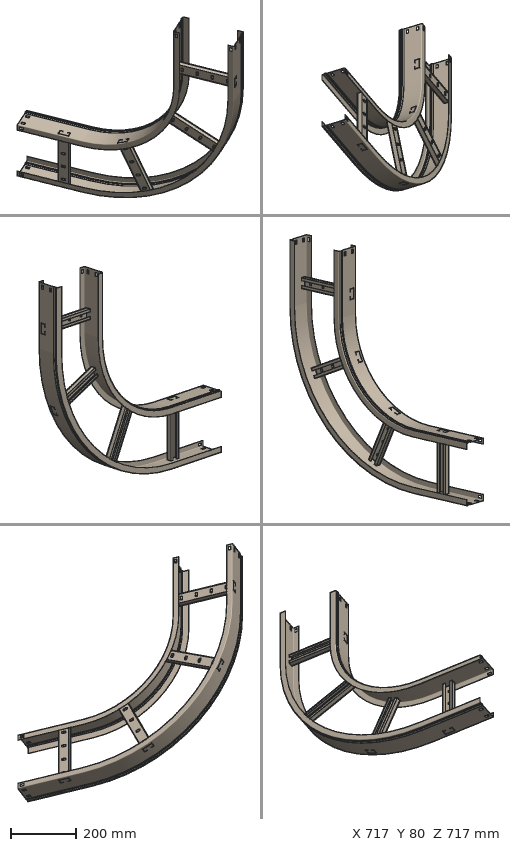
import cadquery as cq
import math

OUTER_RADIUS = 500.0
TRACK_WIDTH = 200.0
INNER_RADIUS = OUTER_RADIUS - TRACK_WIDTH
ARM_LENGTH = 217.0
BEND_ANGLE = 90.0

RAIL_DEPTH = 80.0
FLANGE_WIDTH = 20.0
SHEET = 1.0
FOLD_RADIUS = 2.5
BEAD_OFFSET = 11.0
BEAD_BASE_WIDTH = 12.0
BEAD_CREST_WIDTH = 3.0
BEAD_HEIGHT = 2.5

END_SLOT_LENGTH = 12.0
END_SLOT_WIDTH = 7.0
END_SLOT_INSET = 14.0
WEB_SLOT_FRONT_Y = 15.5
WEB_SLOT_PITCH = 35.0
WEB_SLOT_COUNT = 2

RUNG_WIDTH = 35.0
RUNG_DEPTH = 17.0
RUNG_SHEET = 1.5
RUNG_FRONT_Y = 9.0
RUNG_LIP = 10.0
RUNG_END_DISTANCE = 149.0
RUNG_ANGLE = 25.0
RUNG_SLOT_LENGTH = 14.0
RUNG_SLOT_WIDTH = 7.0
RUNG_SLOT_COUNT = 4
RUNG_SLOT_PITCH = 50.0

MID_RADIUS = (OUTER_RADIUS + INNER_RADIUS) / 2
Y_AXIS = ((0, 0, 0), (0, 1, 0))


def rail_section(web_radius, inward, bead_depth):
    """Channel outline in the XY plane.

    `inward` is the radial sign from the web towards the flange tips, and `bead_depth` is how far
    the bead shifts the web in that direction (negative shifts it away from the flange tips).
    """

    def at(depth, y):
        return (web_radius + inward * depth, y)

    def fold_middle(radius, side_y, y_sign):
        reach = FOLD_RADIUS - radius * math.sqrt(0.5)
        return at(reach, side_y + y_sign * reach)

    bead_y = RAIL_DEPTH - BEAD_OFFSET
    half_base = BEAD_BASE_WIDTH / 2
    half_crest = BEAD_CREST_WIDTH / 2
    inside_fold = FOLD_RADIUS - SHEET
    return (
        cq.Workplane("XY")
        .moveTo(*at(FLANGE_WIDTH, 0))
        .lineTo(*at(FOLD_RADIUS, 0))
        .threePointArc(fold_middle(FOLD_RADIUS, 0, 1), at(0, FOLD_RADIUS))
        .lineTo(*at(0, bead_y - half_base))
        .lineTo(*at(bead_depth, bead_y - half_crest))
        .lineTo(*at(bead_depth, bead_y + half_crest))
        .lineTo(*at(0, bead_y + half_base))
        .lineTo(*at(0, RAIL_DEPTH - FOLD_RADIUS))
        .threePointArc(fold_middle(FOLD_RADIUS, RAIL_DEPTH, -1), at(FOLD_RADIUS, RAIL_DEPTH))
        .lineTo(*at(FLANGE_WIDTH, RAIL_DEPTH))
        .lineTo(*at(FLANGE_WIDTH, RAIL_DEPTH - SHEET))
        .lineTo(*at(FOLD_RADIUS, RAIL_DEPTH - SHEET))
        .threePointArc(fold_middle(inside_fold, RAIL_DEPTH, -1), at(SHEET, RAIL_DEPTH - FOLD_RADIUS))
        .lineTo(*at(SHEET, bead_y + half_base))
        .lineTo(*at(SHEET + bead_depth, bead_y + half_crest))
        .lineTo(*at(SHEET + bead_depth, bead_y - half_crest))
        .lineTo(*at(SHEET, bead_y - half_base))
        .lineTo(*at(SHEET, FOLD_RADIUS))
        .threePointArc(fold_middle(inside_fold, 0, 1), at(FOLD_RADIUS, SHEET))
        .lineTo(*at(FLANGE_WIDTH, SHEET))
        .close()
    )


def end_slots(web_radius, inward, slot_z):
    """Cutters for the two web slots and the front flange slot at one rail end."""
    web_slots = (
        cq.Workplane("YZ", origin=(web_radius, WEB_SLOT_FRONT_Y + WEB_SLOT_PITCH / 2, slot_z))
        .rarray(WEB_SLOT_PITCH, 1, WEB_SLOT_COUNT, 1)
        .rect(END_SLOT_WIDTH, END_SLOT_LENGTH)
        .extrude(2 * SHEET, both=True)
    )
    flange_slot = (
        cq.Workplane("XZ", origin=(web_radius + inward * FLANGE_WIDTH / 2, 0, slot_z))
        .rect(END_SLOT_WIDTH, END_SLOT_LENGTH)
        .extrude(2 * SHEET, both=True)
    )
    return web_slots.union(flange_slot)


def make_rail(web_radius, inward, bead_depth):
    """One rail: both straight arms joined by the quarter bend."""
    slot_z = ARM_LENGTH - END_SLOT_INSET
    upper_arm = rail_section(web_radius, inward, bead_depth).extrude(ARM_LENGTH)
    upper_arm = upper_arm.cut(end_slots(web_radius, inward, slot_z))
    bend = rail_section(web_radius, inward, bead_depth).revolve(BEND_ANGLE, *Y_AXIS)
    lower_arm = rail_section(web_radius, inward, bead_depth).extrude(-ARM_LENGTH)
    lower_arm = lower_arm.cut(end_slots(web_radius, inward, -slot_z))
    lower_arm = lower_arm.rotate(*Y_AXIS, BEND_ANGLE)
    return upper_arm.union(bend).union(lower_arm)


def rung_blank():
    """Rung along X, centred across the track and on Z = 0, longer than the track is wide."""
    length = TRACK_WIDTH + 2 * FLANGE_WIDTH
    outside = cq.Workplane("XY").box(length, RUNG_DEPTH, RUNG_WIDTH, centered=(True, False, True))
    cavity_depth = RUNG_DEPTH - 2 * RUNG_SHEET
    cavity_width = RUNG_WIDTH - 2 * RUNG_SHEET
    cavity = cq.Workplane("XY", origin=(0, RUNG_SHEET, 0)).box(
        length, cavity_depth, cavity_width, centered=(True, False, True)
    )
    mouth_width = RUNG_WIDTH - 2 * RUNG_LIP
    mouth = cq.Workplane("XY", origin=(0, RUNG_SHEET, 0)).box(
        length, RUNG_DEPTH, mouth_width, centered=(True, False, True)
    )
    slots = (
        cq.Workplane("XZ")
        .rarray(RUNG_SLOT_PITCH, 1, RUNG_SLOT_COUNT, 1)
        .slot2D(RUNG_SLOT_LENGTH, RUNG_SLOT_WIDTH, 90)
        .extrude(-RUNG_SHEET)
    )
    rung = outside.cut(cavity).cut(mouth).cut(slots)
    return rung.translate((MID_RADIUS, RUNG_FRONT_Y, 0))


def arm_rung(z):
    """Rung square across a straight arm, between the inside faces of the two webs."""
    track = cq.Workplane("XY", origin=(MID_RADIUS, 0, z)).box(
        TRACK_WIDTH - 2 * SHEET, RAIL_DEPTH, RUNG_WIDTH, centered=(True, False, True)
    )
    return rung_blank().translate((0, 0, z)).intersect(track)


def bend_rung(angle):
    """Radial rung in the bend, between the inside faces of the two curved webs."""
    track = (
        cq.Workplane("XZ")
        .circle(OUTER_RADIUS - SHEET)
        .circle(INNER_RADIUS + SHEET)
        .extrude(-RAIL_DEPTH)
    )
    return rung_blank().intersect(track).rotate(*Y_AXIS, angle)


rung_z = ARM_LENGTH - RUNG_END_DISTANCE
rungs = [
    arm_rung(rung_z),
    bend_rung(RUNG_ANGLE),
    bend_rung(BEND_ANGLE - RUNG_ANGLE),
    arm_rung(-rung_z).rotate(*Y_AXIS, BEND_ANGLE),
]

inner_rail = make_rail(INNER_RADIUS, 1, -BEAD_HEIGHT)
outer_rail = make_rail(OUTER_RADIUS, -1, BEAD_HEIGHT)

result = cq.Compound.makeCompound(
    [inner_rail.val(), outer_rail.val(), *[rung.val() for rung in rungs]]
)